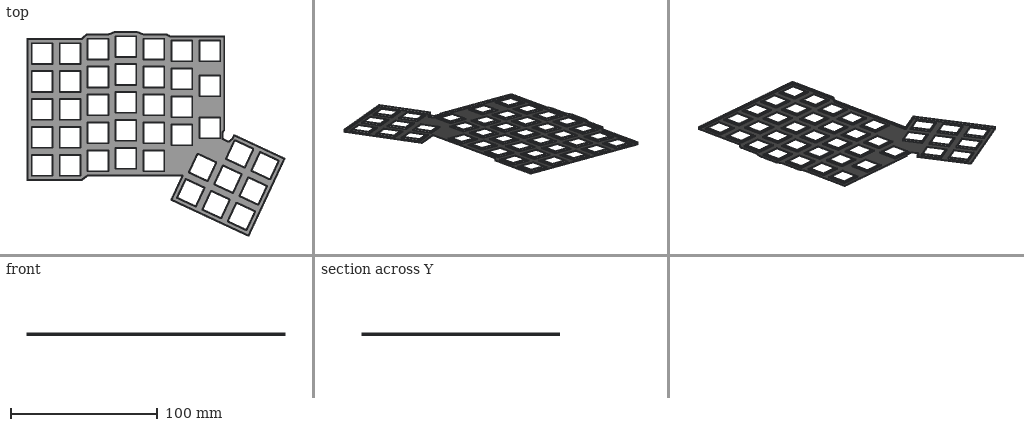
import cadquery as cq
import math

thickness = 1.5
pitch = 19.05
cutout = 14.0
border = 3.0
columns = 7
full_rows = 5
inner_key_drops = (0, 1.25, 2.75)

ring_stagger = 3.05
middle_stagger = 4.75
inner_stagger = 1.78

field_width = (columns - 1) * pitch + cutout + 2 * border
field_height = (full_rows - 1) * pitch + cutout + 2 * border

thumb_count = 3
thumb_angle = 25.0
thumb_side = (thumb_count - 1) * pitch + cutout + 2 * border
overall_width = 175.24
overall_depth = 139.02
thumb_sin = math.sin(math.radians(thumb_angle))
thumb_cos = math.cos(math.radians(thumb_angle))
thumb_left_x = overall_width - thumb_side * (thumb_sin + thumb_cos)
thumb_left_y = field_height + middle_stagger - overall_depth + thumb_side * thumb_sin
thumb_shoulder = 20.2
shoulder_depth = 2.6

ring_step_start = 0.9
ring_step_end = 0.7
middle_step_end = 0.5
inner_step_start = 1.6
inner_step_end = 1.0

notch_top_y = 34.0
notch_step = 1.2
notch_side_y = 28.1
notch_bottom_x = 137.1
notch_bottom_y = 26.0


def column_left(column):
    """X of the left side of the cutouts in a column, counted from zero."""
    return border + column * pitch


def column_right(column):
    return column_left(column) + cutout


def thumb_point(along, up):
    """Point of the turned thumb field, measured from its lower left corner."""
    return (
        thumb_left_x + along * thumb_cos + up * thumb_sin,
        thumb_left_y - along * thumb_sin + up * thumb_cos,
    )


def build_sheet():
    """The plain sheet, its outline running counterclockwise from the origin."""
    ring_top = field_height + ring_stagger
    middle_top = field_height + middle_stagger
    inner_top = field_height + inner_stagger
    notch_side_x = field_width - notch_step
    thumb_meeting_x = thumb_left_x + (ring_stagger - thumb_left_y) * thumb_sin / thumb_cos
    outline = [
        (0, 0),
        (column_right(1) + ring_step_start, 0),
        (column_left(2), ring_stagger),
        (thumb_meeting_x, ring_stagger),
        thumb_point(0, 0),
        thumb_point(thumb_side, 0),
        thumb_point(thumb_side, thumb_side),
        thumb_point(thumb_shoulder, thumb_side),
        thumb_point(thumb_shoulder, thumb_side - shoulder_depth),
        (notch_bottom_x, notch_bottom_y),
        (notch_side_x, notch_side_y),
        (notch_side_x, notch_top_y - notch_step),
        (field_width, notch_top_y),
        (field_width, inner_top),
        (column_left(5) - inner_step_end, inner_top),
        (column_right(4) + inner_step_start, ring_top),
        (column_left(4), ring_top),
        (column_right(3) + middle_step_end, middle_top),
        (column_left(3) - middle_step_end, middle_top),
        (column_right(2), ring_top),
        (column_left(2) - ring_step_end, ring_top),
        (column_right(1) + ring_step_start, field_height),
        (0, field_height),
    ]
    return cq.Workplane("XY").polyline(outline).close().extrude(thickness)


def finger_centers():
    """Centers of the finger keys, column by column from the left."""
    top_center_y = field_height - border - cutout / 2
    rows = range(full_rows)
    layout = [
        (0, rows),
        (0, rows),
        (ring_stagger, rows),
        (middle_stagger, rows),
        (ring_stagger, rows),
        (inner_stagger, range(full_rows - 1)),
        (inner_stagger, inner_key_drops),
    ]
    return [
        (column_left(column) + cutout / 2, top_center_y + stagger - drop * pitch)
        for column, (stagger, drops) in enumerate(layout)
        for drop in drops
    ]


def thumb_centers():
    """All places of the thumb grid but the upper left one."""
    first = border + cutout / 2
    upper_left = (0, thumb_count - 1)
    return [
        thumb_point(first + i * pitch, first + j * pitch)
        for i in range(thumb_count)
        for j in range(thumb_count)
        if (i, j) != upper_left
    ]


def cut_squares(sheet, centers, turn):
    """Cut square openings through the sheet, each turned clockwise about its own center."""
    square = cq.Workplane("XY").rect(cutout, cutout).extrude(thickness)
    square = square.rotate((0, 0, 0), (0, 0, 1), -turn).val()
    openings = [square.translate(cq.Vector(x, y, 0)) for x, y in centers]
    return sheet.cut(cq.Workplane(cq.Compound.makeCompound(openings)))


result = build_sheet()
result = cut_squares(result, finger_centers(), 0)
result = cut_squares(result, thumb_centers(), thumb_angle)